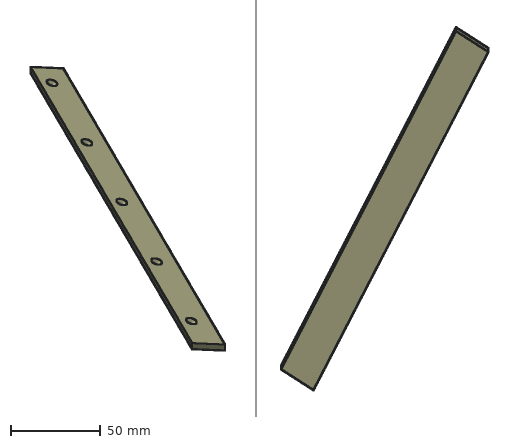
import cadquery as cq
import math

length = 232.0
width = 20.0
edge_height = 5.0
slope = math.tan(math.radians(25.0))
drop = width * slope

dimple_count = 5
dimple_pitch = 50.0
first_dimple_x = 13.0
dimple_y = 9.0
dimple_depth = 2.35
dimple_half_angle = 45.0


def make_bar():
    """Bar with its high edge at y = 0 and its low edge at y = width."""
    section = [
        (0, drop),
        (0, drop + edge_height),
        (width, edge_height),
        (width, 0),
    ]
    return cq.Workplane("YZ").polyline(section).close().extrude(length)


def make_dimple_cutter(x):
    """Upright cone, tip down, tall enough to clear the high edge of the bar."""
    top_face_z = edge_height + drop - dimple_y * slope
    tip_z = top_face_z - dimple_depth
    cone_height = dimple_depth + drop
    cone_radius = cone_height * math.tan(math.radians(dimple_half_angle))
    profile = [(0, 0), (cone_radius, cone_height), (0, cone_height)]
    cone = cq.Workplane("XZ").polyline(profile).close().revolve(360, (0, 0), (0, 1))
    return cone.translate((x, dimple_y, tip_z))


result = make_bar()
for index in range(dimple_count):
    dimple_x = first_dimple_x + index * dimple_pitch
    result = result.cut(make_dimple_cutter(dimple_x))